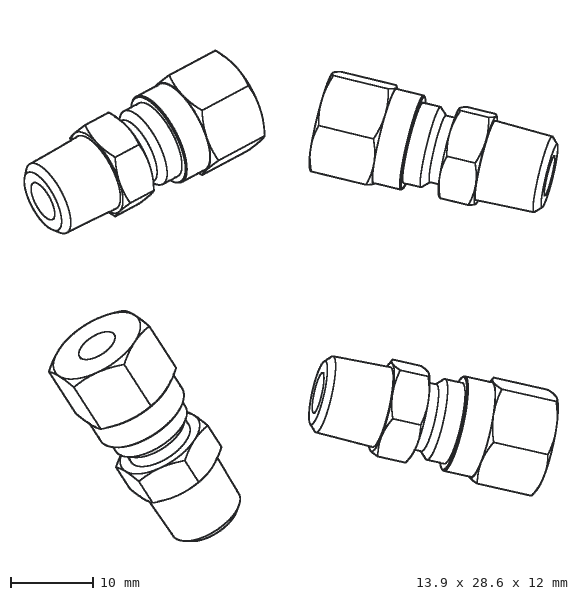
import cadquery as cq
import math

length = 28.6
bore_diameter = 5.0

tip_chamfer = 0.8
body_hex_start = 8.0
body_hex_end = 12.52
neck_end = 14.0
shoulder_start = 14.9
collar_start = 17.1
nut_hex_start = 20.65

thread_root_radius = 4.97
thread_taper = 1 / 32
body_hex_flats = 10.98
neck_radius = 4.17
shoulder_radius = 5.03
collar_radius = 5.9
collar_chamfer = 0.15
nut_hex_flats = 12.0
hex_chamfer_angle = math.radians(30)


def revolve_about_y(profile):
    """Revolve a (radius, Y) outline, closed along the axis, into a solid."""
    outline = [(0, profile[0][1])] + profile + [(0, profile[-1][1])]
    return cq.Workplane("XY").polyline(outline).close().revolve(360, (0, 0, 0), (0, 1, 0))


def chamfered_hex(flats, start, end):
    """Hexagon with corners on the X axis, coned at both ends down to its flats."""
    flat_radius = flats / 2
    corner_radius = flat_radius / math.cos(math.pi / 6)
    cone_depth = (corner_radius - flat_radius) * math.tan(hex_chamfer_angle)
    prism = (
        cq.Workplane("XZ", origin=(0, start, 0))
        .polygon(6, 2 * corner_radius)
        .extrude(start - end)
    )
    envelope = revolve_about_y([
        (flat_radius, start),
        (corner_radius, start + cone_depth),
        (corner_radius, end - cone_depth),
        (flat_radius, end),
    ])
    return prism.intersect(envelope)


thread_tip_radius = thread_root_radius - (body_hex_start - tip_chamfer) * thread_taper
turned_body = revolve_about_y([
    (thread_tip_radius - tip_chamfer, 0),
    (thread_tip_radius, tip_chamfer),
    (thread_root_radius, body_hex_start),
    (neck_radius, body_hex_start),
    (neck_radius, neck_end),
    (shoulder_radius, shoulder_start),
    (shoulder_radius, collar_start),
    (collar_radius - collar_chamfer, collar_start),
    (collar_radius, collar_start + collar_chamfer),
    (collar_radius, nut_hex_start),
])

body_hex = chamfered_hex(body_hex_flats, body_hex_start, body_hex_end)
nut_hex = chamfered_hex(nut_hex_flats, nut_hex_start, length)

bore = cq.Workplane("XZ").circle(bore_diameter / 2).extrude(-length)

result = turned_body.union(body_hex).union(nut_hex).cut(bore)